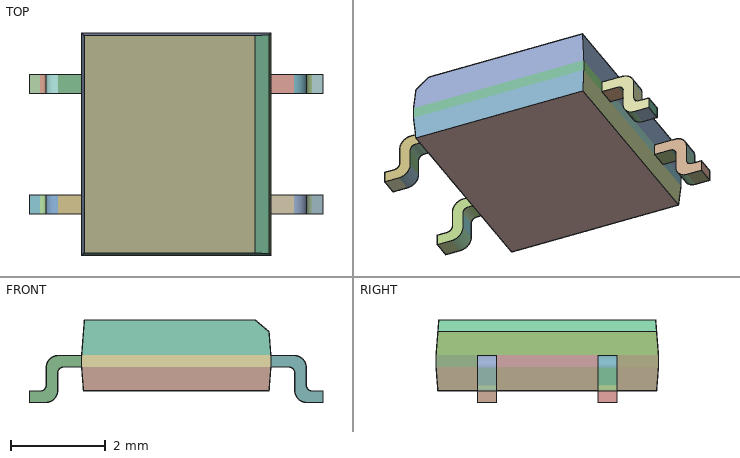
import cadquery as cq

body_length_x = 4.0
body_width_y = 4.7
body_top_z = 1.75
draft_angle = 4.5
bevel_inset = 0.335
bevel_drop = 3.8
bevel_run = 4.5

lead_span_x = 6.2
lead_thickness = 0.25
lead_width = 0.41
lead_pitch_y = 2.54
lead_top_z = 1.0
foot_length = 0.355
outer_bend_radius = 0.26
inner_bend_radius = 0.125

band_bottom_z = lead_top_z - lead_thickness
body_bottom_z = lead_thickness


def drafted_block(start_z, height):
    """Block that narrows away from the parting band; negative height extends it downward."""
    block = cq.Workplane("XY").rect(body_length_x, body_width_y).extrude(abs(height), taper=draft_angle)
    if height < 0:
        block = block.mirror("XY")
    return block.translate((0, 0, start_z))


def make_body():
    """Body with a straight parting band and drafted halves above and below it."""
    band = (
        cq.Workplane("XY")
        .workplane(offset=band_bottom_z)
        .rect(body_length_x, body_width_y)
        .extrude(lead_thickness)
    )
    upper = drafted_block(lead_top_z, body_top_z - lead_top_z)
    lower = drafted_block(band_bottom_z, body_bottom_z - band_bottom_z)
    return band.union(upper).union(lower)


def make_bevel_cutter():
    """Wedge that removes the top edge along the +X side of the body."""
    start_x = body_length_x / 2 - bevel_inset
    end_x = body_length_x / 2
    end_z = body_top_z - bevel_drop * bevel_inset / bevel_run
    return (
        cq.Workplane("XZ")
        .moveTo(start_x, body_top_z)
        .lineTo(end_x, body_top_z)
        .lineTo(end_x, end_z)
        .close()
        .extrude(body_width_y / 2, both=True)
    )


def make_lead():
    """Gull-wing lead on the +X side, centred on Y = 0, rooted in the side of the body."""
    root_x = body_length_x / 2
    tip_x = lead_span_x / 2
    riser_outer_x = tip_x - foot_length
    riser_inner_x = riser_outer_x - lead_thickness
    lead = (
        cq.Workplane("XZ")
        .moveTo(root_x, lead_top_z)
        .lineTo(riser_outer_x, lead_top_z)
        .lineTo(riser_outer_x, lead_thickness)
        .lineTo(tip_x, lead_thickness)
        .lineTo(tip_x, 0)
        .lineTo(riser_inner_x, 0)
        .lineTo(riser_inner_x, band_bottom_z)
        .lineTo(root_x, band_bottom_z)
        .close()
        .extrude(lead_width / 2, both=True)
    )
    outer_corners = [(riser_outer_x, lead_top_z), (riser_inner_x, 0)]
    inner_corners = [(riser_inner_x, band_bottom_z), (riser_outer_x, lead_thickness)]
    for corners, radius in ((outer_corners, outer_bend_radius), (inner_corners, inner_bend_radius)):
        for x, z in corners:
            lead = lead.edges(cq.selectors.NearestToPointSelector((x, 0, z))).fillet(radius)
    return lead


result = make_body().cut(make_bevel_cutter())
right_lead = make_lead()
left_lead = right_lead.mirror("YZ")
for lead_y in (-lead_pitch_y / 2, lead_pitch_y / 2):
    for lead in (left_lead, right_lead):
        result = result.union(lead.translate((0, lead_y, 0)))